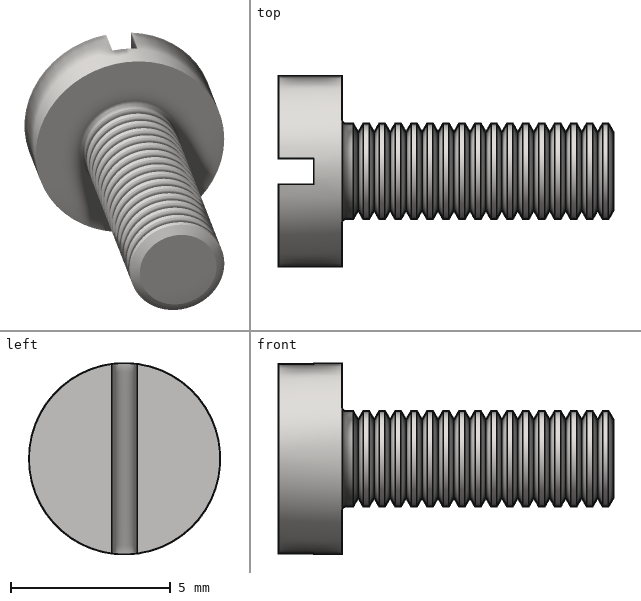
import cadquery as cq
import math

total_length = 10.5
head_diameter = total_length * 4 / 7
head_length = head_diameter / 3
shank_radius = head_diameter / 4
neck_fillet = 0.1

groove_count = 17
pitch = (total_length - head_length) / groove_count
crest_width = 0.18
flank_run = (pitch - crest_width) / 2
flank_half_angle = math.radians(30)
thread_depth = flank_run / math.tan(flank_half_angle)
root_radius = shank_radius - thread_depth

slot_width = 0.8
slot_depth = 1.1


def make_head():
    """Plain disc with flat faces."""
    return cq.Workplane("YZ").circle(head_diameter / 2).extrude(head_length)


def make_threaded_shank():
    """Revolved profile: filleted neck, V-grooves, and half a groove at the tip."""
    arc_offset = neck_fillet * (1 - math.sqrt(0.5))
    profile = (
        cq.Workplane("XY")
        .moveTo(head_length, 0)
        .lineTo(head_length, shank_radius + neck_fillet)
        .threePointArc(
            (head_length + arc_offset, shank_radius + arc_offset),
            (head_length + neck_fillet, shank_radius),
        )
    )
    for groove in range(1, groove_count + 1):
        root_x = head_length + groove * pitch
        profile = profile.lineTo(root_x - flank_run, shank_radius)
        profile = profile.lineTo(root_x, root_radius)
        if groove < groove_count:
            profile = profile.lineTo(root_x + flank_run, shank_radius)
    profile = profile.lineTo(total_length, 0).close()
    return profile.revolve(360, (0, 0, 0), (1, 0, 0))


def make_slot():
    """Screwdriver slot running right across the head along Z."""
    return cq.Workplane("XY").box(
        slot_depth, slot_width, head_diameter, centered=(False, True, True)
    )


result = make_head().union(make_threaded_shank()).cut(make_slot())